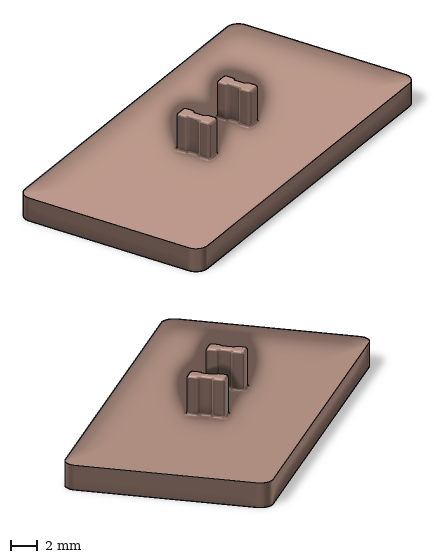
import cadquery as cq
import math

plate_width = 16.05
plate_length = 30.55
plate_thickness = 2.0
plate_corner_radius = 1.0

overall_height = 5.2
post_height = overall_height - plate_thickness
post_spacing = 5.7
post_length = 3.0
post_thickness = 1.2
post_corner_radius = 0.25
post_top_radius = 0.25
post_foot_radius = 0.27

waist_flat_length = 0.67
waist_blend_radius = 0.25
waist_blend_angle = math.radians(53)

selection_margin = 0.03


def waisted_side(sketch, side):
    """Draw one long side of the post: the front (-Y) if side is -1, the back (+Y) if 1."""
    arc_run = waist_blend_radius * math.sin(waist_blend_angle)
    arc_rise = waist_blend_radius * (1 - math.cos(waist_blend_angle))
    half_angle_run = waist_blend_radius * math.sin(waist_blend_angle / 2)
    half_angle_rise = waist_blend_radius * (1 - math.cos(waist_blend_angle / 2))

    outer_y = post_thickness / 2
    middle_y = outer_y - arc_rise
    waist_y = middle_y - arc_rise
    waist_x = waist_flat_length / 2
    middle_x = waist_x + arc_run
    outer_x = middle_x + arc_run

    def at(x, y):
        return (-side * x, side * y)

    return (
        sketch.lineTo(*at(-outer_x, outer_y))
        .threePointArc(at(half_angle_run - outer_x, outer_y - half_angle_rise), at(-middle_x, middle_y))
        .threePointArc(at(-waist_x - half_angle_run, waist_y + half_angle_rise), at(-waist_x, waist_y))
        .lineTo(*at(waist_x, waist_y))
        .threePointArc(at(waist_x + half_angle_run, waist_y + half_angle_rise), at(middle_x, middle_y))
        .threePointArc(at(outer_x - half_angle_run, outer_y - half_angle_rise), at(outer_x, outer_y))
        .lineTo(*at(post_length / 2, outer_y))
    )


def make_post(center_y):
    """Waisted post with rounded corners and a rounded top edge."""
    sketch = cq.Workplane("XY").moveTo(-post_length / 2, -post_thickness / 2)
    sketch = waisted_side(sketch, -1)
    sketch = sketch.lineTo(post_length / 2, post_thickness / 2)
    sketch = waisted_side(sketch, 1)
    post = sketch.close().extrude(post_height)
    post = post.edges("|Z").edges("<X or >X").fillet(post_corner_radius)
    post = post.faces(">Z").edges().fillet(post_top_radius)
    return post.translate((0, center_y, plate_thickness))


plate = (
    cq.Workplane("XY")
    .box(plate_width, plate_length, plate_thickness, centered=(True, True, False))
    .edges("|Z")
    .fillet(plate_corner_radius)
)

result = plate
for center_y in (-post_spacing / 2, post_spacing / 2):
    result = result.union(make_post(center_y))

foot_zone = cq.selectors.BoxSelector(
    (-post_length, -post_spacing, plate_thickness - selection_margin),
    (post_length, post_spacing, plate_thickness + selection_margin),
)
result = result.edges(foot_zone).fillet(post_foot_radius)